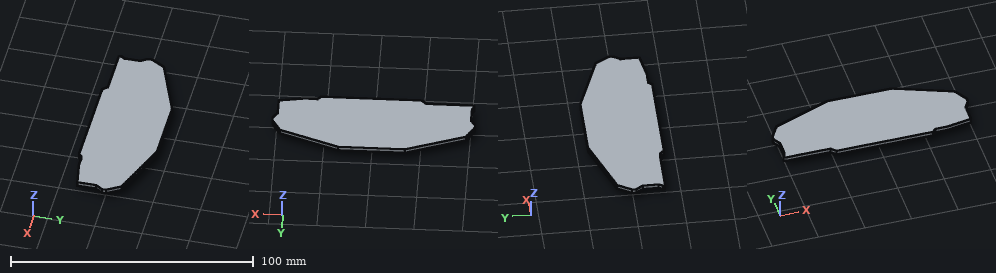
import cadquery as cq

length = 83.6
depth = 30.9
height = 4.5
plate_thickness = 2.0

half_length = length / 2
top_half_width = 13.9
shoulder_x = 38.4
shoulder_y = 21.7
flank_top_y = 15.9
flank_bottom_y = 14.2
waist_x = 39.9
waist_y = 11.2

toe_top_y = 4.7
toe_tip_x = -40.9
toe_tip_y = 3.0
toe_mid = (-40.7, 2.3)
ledge_start_x = -40.05

left_ledge_y = 2.0
left_ledge_end_x = -21.0
base_left_x = -19.0
base_right_x = 22.6
right_ledge_y = 1.5
right_ledge_start_x = 24.0
right_ledge_end_x = 29.3
right_corner_y = 3.35

pin_diameter = 2.9
pin_height = height - plate_thickness
pin_spacing = 67.9
pin_y = 8.95


def make_plate():
    """Flat plate with its underside at Z = 0."""
    outline = (
        cq.Workplane("XY")
        .moveTo(-top_half_width, depth)
        .lineTo(top_half_width, depth)
        .lineTo(shoulder_x, shoulder_y)
        .lineTo(half_length, flank_top_y)
        .lineTo(half_length, flank_bottom_y)
        .lineTo(waist_x, waist_y)
        .lineTo(waist_x, right_corner_y)
        .lineTo(right_ledge_end_x, right_ledge_y)
        .lineTo(right_ledge_start_x, right_ledge_y)
        .lineTo(base_right_x, 0)
        .lineTo(base_left_x, 0)
        .lineTo(left_ledge_end_x, left_ledge_y)
        .lineTo(ledge_start_x, left_ledge_y)
        .threePointArc(toe_mid, (toe_tip_x, toe_tip_y))
        .lineTo(-waist_x, toe_top_y)
        .lineTo(-waist_x, waist_y)
        .lineTo(-half_length, flank_bottom_y)
        .lineTo(-half_length, flank_top_y)
        .lineTo(-shoulder_x, shoulder_y)
        .close()
    )
    return outline.extrude(plate_thickness)


def make_pins():
    """Pair of round pins hanging from the underside of the plate."""
    pin_centers = [(side * pin_spacing / 2, pin_y) for side in (-1, 1)]
    return (
        cq.Workplane("XY")
        .pushPoints(pin_centers)
        .circle(pin_diameter / 2)
        .extrude(-pin_height)
    )


result = make_plate().union(make_pins())